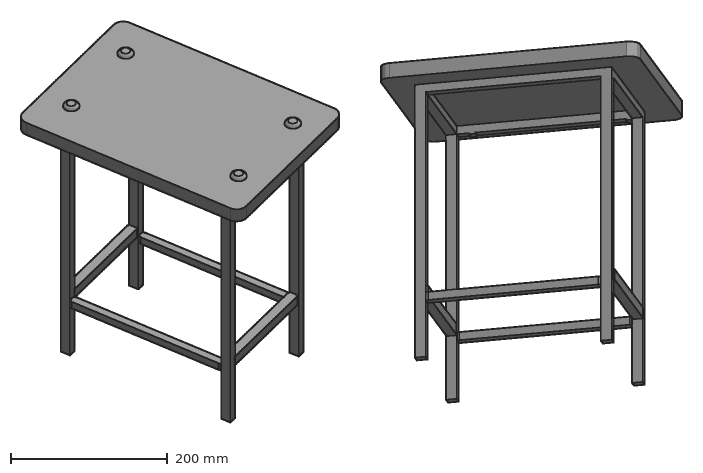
import cadquery as cq

total_height = 396.0
seat_length = 341.0
seat_depth = 240.0
seat_thickness = 20.0
seat_corner_radius = 14.5

head_height = 4.8
head_radius = 10.5
head_flat_radius = 6.0
head_mid_radius = 9.0
head_mid_height = 2.97
bolt_pitch_x = 255.0
bolt_pitch_y = 126.0

frame_center_x = 1.5
frame_center_y = 2.5
frame_length = 259.0
frame_depth = 169.5
leg_width = 14.3
leg_depth = 11.0
top_rail_height = 11.0

side_stretcher_bottom = 86.5
side_stretcher_height = 14.3
side_stretcher_width = 14.0
side_stretcher_lap = 1.5
side_stretcher_shift = 0.8
front_stretcher_bottom = 80.0
rear_stretcher_bottom = 77.0
long_stretcher_height = 11.0
long_stretcher_width = 11.0
front_stretcher_overhang = 1.0
stub_length = 3.0
stub_step = 0.5

pad_width = 8.7
pad_height = 1.5
pad_offsets_x = (-111.5, 95.0)

seat_top = total_height - head_height
frame_top = seat_top - seat_thickness
top_rail_bottom = frame_top - top_rail_height
left = frame_center_x - frame_length / 2
right = frame_center_x + frame_length / 2
front = frame_center_y - frame_depth / 2
rear = frame_center_y + frame_depth / 2


def bar(x_min, x_max, y_min, y_max, z_min, z_max):
    """Rectangular bar between two opposite corners."""
    size = (x_max - x_min, y_max - y_min, z_max - z_min)
    return cq.Workplane("XY").box(*size, centered=False).translate((x_min, y_min, z_min))


def make_seat():
    """Flat slab with rounded corners, centred on the origin in X and Y."""
    outline = cq.Workplane("XY").workplane(offset=frame_top).rect(seat_length, seat_depth)
    slab = outline.extrude(seat_thickness)
    return slab.edges("|Z").fillet(seat_corner_radius)


def make_bolt_head():
    """Rounded head with a flat top, standing on the seat."""
    profile = (
        cq.Workplane("XZ")
        .lineTo(head_radius, 0)
        .threePointArc((head_mid_radius, head_mid_height), (head_flat_radius, head_height))
        .lineTo(0, head_height)
        .close()
    )
    return profile.revolve(360, (0, 0, 0), (0, 1, 0))


def make_upper_frame():
    """Four legs joined by a rectangle of rails under the seat."""
    outer = bar(left, right, front, rear, top_rail_bottom, frame_top)
    opening = bar(
        left + leg_width, right - leg_width, front + leg_depth, rear - leg_depth, top_rail_bottom, frame_top
    )
    frame = outer.cut(opening)
    for x in (left, right - leg_width):
        for y in (front, rear - leg_depth):
            frame = frame.union(bar(x, x + leg_width, y, y + leg_depth, 0, frame_top))
    return frame


def make_side_stretcher(x_min):
    """Bar along Y joining a front and a rear leg, with stubs lapped a little over both."""
    x_max = x_min + side_stretcher_width
    y_min = front + leg_depth - side_stretcher_lap
    y_max = rear - leg_depth + side_stretcher_lap
    z_min = side_stretcher_bottom
    z_max = z_min + side_stretcher_height
    body = bar(x_min, x_max, y_min + stub_length, y_max - stub_length, z_min, z_max)
    core = bar(x_min + stub_step, x_max - stub_step, y_min, y_max, z_min, z_max)
    return body.union(core)


def make_long_stretcher(y_min, z_min):
    """Bar along X between the inner faces of a left and a right leg."""
    x_min = left + leg_width
    x_max = right - leg_width
    y_max = y_min + long_stretcher_width
    z_max = z_min + long_stretcher_height
    body = bar(x_min + stub_length, x_max - stub_length, y_min, y_max, z_min, z_max)
    core = bar(x_min, x_max, y_min + stub_step, y_max - stub_step, z_min, z_max)
    return body.union(core)


def make_pad(offset_x):
    x = frame_center_x + offset_x
    return bar(
        x - pad_width / 2, x + pad_width / 2, front, front + leg_depth,
        top_rail_bottom - pad_height, top_rail_bottom,
    )


result = make_seat().union(make_upper_frame())

for outer_x in (left, right - side_stretcher_width):
    result = result.union(make_side_stretcher(outer_x - side_stretcher_shift))

result = result.union(make_long_stretcher(front - front_stretcher_overhang, front_stretcher_bottom))
result = result.union(make_long_stretcher(rear - long_stretcher_width, rear_stretcher_bottom))

for pad_offset in pad_offsets_x:
    result = result.union(make_pad(pad_offset))

bolt_head = make_bolt_head()
for side_x in (-1, 1):
    for side_y in (-1, 1):
        bolt_x = frame_center_x + side_x * bolt_pitch_x / 2
        bolt_y = frame_center_y + side_y * bolt_pitch_y / 2
        result = result.union(bolt_head.translate((bolt_x, bolt_y, seat_top)))